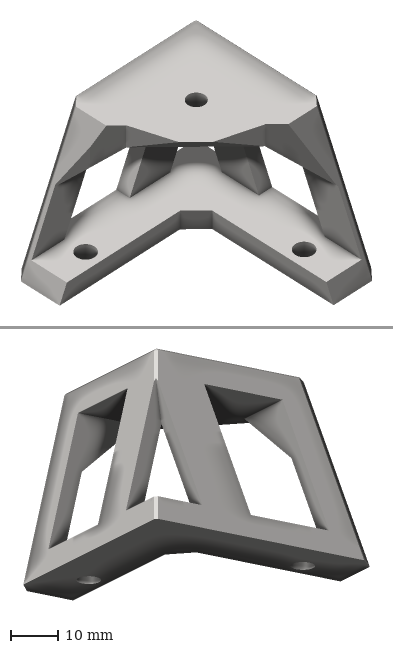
import cadquery as cq
import math

arm_length = 55.3
height = 38.0
top_arm_length = 38.9

base_thickness = 5.05
top_thickness = 6.0
wall_thickness = 4.0

end_chamfer = 3.0
corner_chamfer = 0.6

arm_width = 14.5
inner_chamfer = 4.8
mount_hole_diameter = 5.2
mount_hole_inset = 10.05
x_arm_hole = 42.15
y_arm_hole = 43.1

center_hole_diameter = 4.85
center_hole_inset = 19.4
gusset_leg = 11.0
x_arm_trim = 50.4
y_arm_trim = 49.3
y_arm_bend = (9.7, 41.35)
bulge_inset = 14.95
y_bulge_end = 35.85
bulge_reach = 5.75
bulge_edge_length = 7.2

window_width = 19.5
x_arm_window = 22.7
y_arm_window = 23.8
corner_opening_length = 11.65

lean = (arm_length - top_arm_length) / height
top_underside = height - top_thickness
gusset_reach = wall_thickness + gusset_leg
gusset_foot = top_underside - gusset_leg


def x_arm_prism(profile, depth):
    """Extrude a (distance along arm, height) profile inward from the X arm's outer face."""
    return cq.Workplane("XZ").polyline(profile).close().extrude(depth)


def y_arm_prism(profile, depth):
    """Extrude a (distance along arm, height) profile inward from the Y arm's outer face."""
    points = [(-distance, z) for distance, z in profile]
    return cq.Workplane("YZ").polyline(points).close().extrude(depth)


def plan_prism(outline, bottom, thickness):
    """Extrude an outline of (distance along X arm, distance along Y arm) points upward."""
    points = [(along_x, -along_y) for along_x, along_y in outline]
    return cq.Workplane("XY", origin=(0, 0, bottom)).polyline(points).close().extrude(thickness)


def make_envelope():
    """Outer block with leaning arm ends and chamfered outer edges."""
    side = [(0, 0), (arm_length, 0), (top_arm_length, height), (0, height)]
    block = x_arm_prism(side, arm_length).intersect(y_arm_prism(side, arm_length))

    middle = (arm_length + top_arm_length) / 2
    x_end = cq.selectors.NearestToPointSelector((middle, 0, height / 2))
    y_end = cq.selectors.NearestToPointSelector((0, -middle, height / 2))
    block = block.edges(x_end + y_end).chamfer(end_chamfer)

    x_top = cq.selectors.NearestToPointSelector((top_arm_length / 2, 0, height))
    y_top = cq.selectors.NearestToPointSelector((0, -top_arm_length / 2, height))
    corner = cq.selectors.NearestToPointSelector((0, 0, height / 2))
    return block.edges(x_top + y_top + corner).chamfer(corner_chamfer)


def make_base():
    """L-shaped base plate with a chamfered inner corner."""
    step = arm_width + inner_chamfer
    outline = [
        (0, 0), (arm_length, 0), (arm_length, arm_width), (step, arm_width),
        (arm_width, step), (arm_width, arm_length), (0, arm_length),
    ]
    return plan_prism(outline, 0, base_thickness)


x_bulge_root = (x_arm_trim - bulge_inset, bulge_inset)
y_bulge_root = (bulge_inset, y_bulge_end)
roof_outline = [(0, 0), (x_arm_trim, 0), x_bulge_root, y_bulge_root, y_arm_bend, (0, y_arm_trim)]


def make_bulge():
    """Front bulge of the top plate, with an underside sloping up and out to the top face."""
    run_x = x_bulge_root[0] - y_bulge_root[0]
    run_y = y_bulge_root[1] - x_bulge_root[1]
    outward = cq.Vector(run_y, -run_x, 0)
    middle_x = (x_bulge_root[0] + y_bulge_root[0]) / 2
    middle_y = (x_bulge_root[1] + y_bulge_root[1]) / 2
    middle = (middle_x, -middle_y, top_underside)
    half_root = math.hypot(run_x, run_y) / 2
    half_edge = bulge_edge_length / 2

    plan = cq.Plane(origin=middle, xDir=outward, normal=(0, 0, 1))
    outline = [(0, -half_root), (bulge_reach, -half_edge), (bulge_reach, half_edge), (0, half_root)]
    block = cq.Workplane(plan).polyline(outline).close().extrude(top_thickness)

    side = cq.Plane(origin=middle, xDir=outward, normal=outward.cross(cq.Vector(0, 0, 1)))
    section = [(0, 0), (bulge_reach, top_thickness), (0, top_thickness)]
    wedge = cq.Workplane(side).polyline(section).close().extrude(half_root, both=True)
    return block.intersect(wedge)


def window_profile(start):
    """Parallelogram leaning like the arm ends, from the base plate to the top plate."""
    shift = lean * (top_underside - base_thickness)
    return [
        (start, base_thickness), (start + window_width, base_thickness),
        (start + window_width - shift, top_underside), (start - shift, top_underside),
    ]


def make_gussets():
    """45 degree gussets under the top plate, each filling its arm from the window to the end."""
    section = [
        (0, gusset_foot), (wall_thickness, gusset_foot),
        (gusset_reach, top_underside), (0, top_underside),
    ]

    def past_window(start):
        _, window_foot, window_head, _ = window_profile(start)
        return [window_foot, (arm_length, base_thickness), (arm_length, top_underside), window_head]

    x_limit = x_arm_prism(past_window(x_arm_window), gusset_reach)
    x_gusset = y_arm_prism(section, arm_length).intersect(x_limit)
    y_limit = y_arm_prism(past_window(y_arm_window), gusset_reach)
    y_gusset = x_arm_prism(section, arm_length).intersect(y_limit)
    return x_gusset.union(y_gusset).intersect(plan_prism(roof_outline, 0, height))


def upright_hole(along_x, along_y, diameter):
    """Cylinder through the full height."""
    return cq.Workplane("XY").center(along_x, -along_y).circle(diameter / 2).extrude(height)


def make_walls():
    """Upright walls along both outer faces, each with a leaning window and an open lower corner."""
    profile = [(0, 0), (arm_length, 0), (arm_length, height), (0, height)]
    corner_opening = [
        (0, base_thickness), (corner_opening_length, base_thickness),
        (0, base_thickness + corner_opening_length / lean),
    ]
    walls = cq.Workplane("XY")
    for arm_prism, window_start in [(x_arm_prism, x_arm_window), (y_arm_prism, y_arm_window)]:
        wall = arm_prism(profile, wall_thickness)
        wall = wall.cut(arm_prism(window_profile(window_start), wall_thickness))
        wall = wall.cut(arm_prism(corner_opening, wall_thickness))
        walls = walls.add(wall)
    return walls.combine()


top_plate = plan_prism(roof_outline, top_underside, top_thickness).union(make_bulge())
body = make_base().union(make_walls()).union(make_gussets()).union(top_plate)
body = body.intersect(make_envelope())

center_hole = upright_hole(center_hole_inset, center_hole_inset, center_hole_diameter)
x_arm_screw = upright_hole(x_arm_hole, mount_hole_inset, mount_hole_diameter)
y_arm_screw = upright_hole(mount_hole_inset, y_arm_hole, mount_hole_diameter)
base_holes = x_arm_screw.union(y_arm_screw).intersect(make_base())

result = body.cut(center_hole).cut(base_holes)